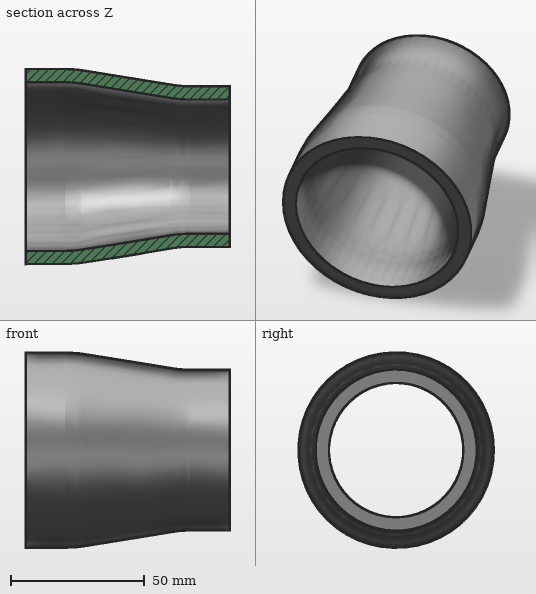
import cadquery as cq
import math

length = 76.2
large_outer_diameter = 73.0
small_outer_diameter = 60.1
wall = 5.0
end_length = 14.85
blend_length = 6.6

large_radius = large_outer_diameter / 2
small_radius = small_outer_diameter / 2
small_end_start = length - end_length
large_blend_end = end_length + blend_length
small_blend_start = small_end_start - blend_length
cone_length = small_blend_start - large_blend_end


def cone_angle(drop):
    """Half-angle of a cone that, with its two tangent arcs, falls by the given drop.

    Each arc falls by blend_length * t and the cone by cone_length * 2t / (1 - t^2),
    where t = tan(angle / 2); the small angle is found by fixed-point iteration.
    """
    half_tangent = 0.0
    for _ in range(30):
        span = 2 * blend_length + 2 * cone_length / (1 - half_tangent**2)
        half_tangent = drop / span
    return 2 * math.atan(half_tangent)


angle = cone_angle(large_radius - small_radius)
blend_drop = blend_length * math.tan(angle / 2)


def reducer_body(inset):
    """Solid of revolution whose surface lies the given inset inside the outer wall.

    The profile is a cylinder, arc, cone, reversed arc and cylinder.
    """
    axial_shift = inset * math.sin(angle)
    radial_shift = inset * math.cos(angle)
    cone_start = (large_blend_end - axial_shift, large_radius - blend_drop - radial_shift)
    cone_end = (small_blend_start - axial_shift, small_radius + blend_drop - radial_shift)
    return (
        cq.Workplane("XY")
        .lineTo(0, large_radius - inset)
        .lineTo(end_length, large_radius - inset)
        .tangentArcPoint(cone_start, relative=False)
        .lineTo(*cone_end)
        .tangentArcPoint((small_end_start, small_radius - inset), relative=False)
        .lineTo(length, small_radius - inset)
        .lineTo(length, 0)
        .close()
        .revolve(360, (0, 0, 0), (1, 0, 0))
    )


outside = reducer_body(0)
bore = reducer_body(wall)
result = outside.cut(bore)